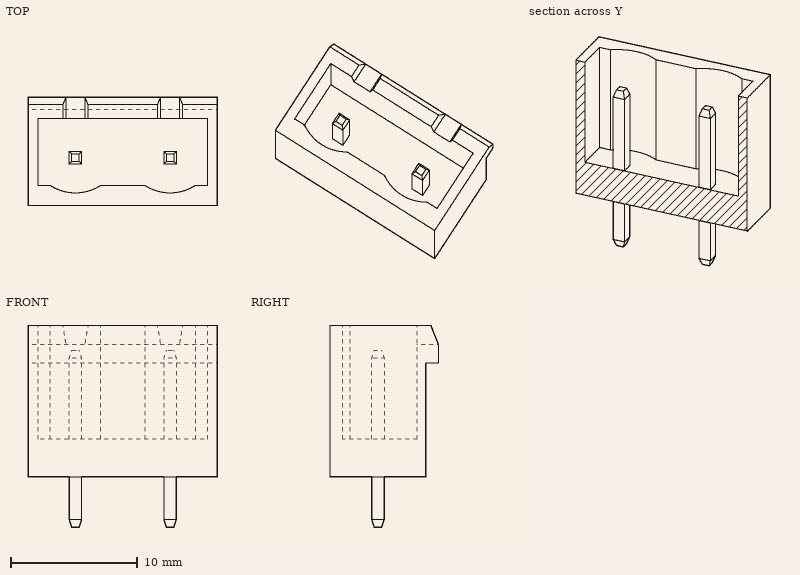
import cadquery as cq

pole_count = 2
pitch = 7.5
length = pole_count * pitch
depth = 7.6
height = 12.0

rail_overhang = 1.0
rail_height = 3.0
rail_bevel_depth = 0.6
rail_bevel_height = 1.5

end_wall = 0.8
front_wall = 1.6
back_wall = 0.7
floor_thickness = 3.0

relief_width = 4.0
relief_depth = 0.6

notch_top_width = 2.0
notch_bottom_width = 1.5
notch_depth = 1.5

pin_width = 1.0
pin_tip_width = 0.6
pin_taper_length = 0.6
pin_y = 3.8
pin_bottom = -4.0
pin_top = 10.0

pole_positions = [(i - (pole_count - 1) / 2) * pitch for i in range(pole_count)]


def housing_block():
    """Side profile of the block and its latch rail, extruded along X."""
    rail_back = depth + rail_overhang
    profile = [
        (0, 0),
        (depth, 0),
        (depth, height - rail_height),
        (rail_back, height - rail_height),
        (rail_back, height - rail_bevel_height),
        (rail_back - rail_bevel_depth, height),
        (0, height),
    ]
    return cq.Workplane("YZ").polyline(profile).close().extrude(length / 2, both=True)


def cavity():
    """Rectangular plug cavity with one arched relief in front of each pin."""
    half_length = length / 2 - end_wall
    back = depth - back_wall
    outline = cq.Workplane("XY", origin=(0, 0, floor_thickness)).moveTo(-half_length, front_wall)
    for x in pole_positions:
        outline = outline.lineTo(x - relief_width / 2, front_wall)
        outline = outline.threePointArc(
            (x, front_wall - relief_depth), (x + relief_width / 2, front_wall)
        )
    outline = outline.lineTo(half_length, front_wall).lineTo(half_length, back).lineTo(-half_length, back)
    return outline.close().extrude(height - floor_thickness)


def rail_notch(x):
    """Trapezoidal notch running from the cavity out through the latch rail."""
    profile = [
        (x - notch_top_width / 2, height),
        (x - notch_bottom_width / 2, height - notch_depth),
        (x + notch_bottom_width / 2, height - notch_depth),
        (x + notch_top_width / 2, height),
    ]
    start = cq.Workplane("XZ", origin=(0, depth - back_wall, 0))
    return start.polyline(profile).close().extrude(-(back_wall + rail_overhang))


def pin_tip(x, shoulder, end):
    """Four-sided tapered tip from the full pin section to its blunt end."""
    return (
        cq.Workplane("XY", origin=(x, pin_y, shoulder))
        .rect(pin_width, pin_width)
        .workplane(offset=end - shoulder)
        .rect(pin_tip_width, pin_tip_width)
        .loft(ruled=True)
    )


def contact_pin(x):
    """Square pin tapered at both ends."""
    lower_shoulder = pin_bottom + pin_taper_length
    upper_shoulder = pin_top - pin_taper_length
    shank = (
        cq.Workplane("XY", origin=(x, pin_y, lower_shoulder))
        .rect(pin_width, pin_width)
        .extrude(upper_shoulder - lower_shoulder)
    )
    lower_tip = pin_tip(x, lower_shoulder, pin_bottom)
    upper_tip = pin_tip(x, upper_shoulder, pin_top)
    return shank.union(lower_tip).union(upper_tip)


result = housing_block().cut(cavity())
for pole_x in pole_positions:
    result = result.cut(rail_notch(pole_x))
    result = result.union(contact_pin(pole_x))